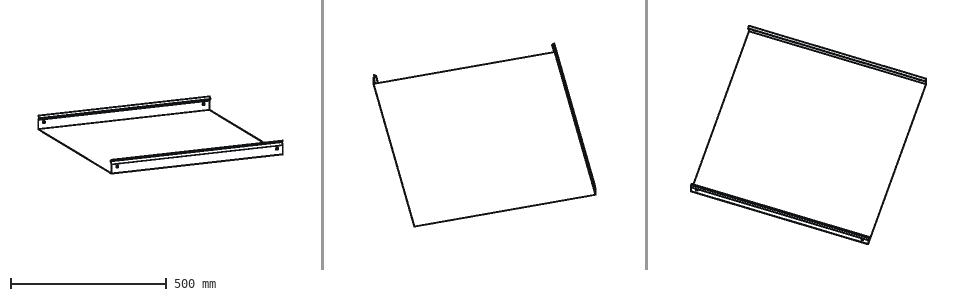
import cadquery as cq
import math

width = 597.5
length = 600.0
height = 46.0
sheet = 1.0

wall_height = 31.0
lip_depth = 8.0

hole_diameter = 7.0
hole_end_distance = 20.5
hole_height = 21.5

half_width = width / 2
tip_height = wall_height + lip_depth
sheet_across_fold = sheet * math.sqrt(2)
edge_step = sheet / math.sqrt(2)
upper_rise = height - edge_step - tip_height
inner_wall_height = wall_height + sheet - sheet_across_fold

outer_face = [
    (0, 0),
    (0, wall_height),
    (lip_depth, tip_height),
    (lip_depth - upper_rise, tip_height + upper_rise),
]
inner_face = [
    (lip_depth - upper_rise + edge_step, height),
    (lip_depth + sheet_across_fold, tip_height),
    (sheet, inner_wall_height),
    (sheet, sheet),
]

left_side = [(inset - half_width, z) for inset, z in outer_face + inner_face]
right_side = [(-x, z) for x, z in reversed(left_side)]

tray = (
    cq.Workplane("XZ")
    .polyline(left_side + right_side)
    .close()
    .extrude(length / 2, both=True)
)

hole_offset = length / 2 - hole_end_distance
holes = (
    cq.Workplane("YZ")
    .pushPoints([(-hole_offset, hole_height), (hole_offset, hole_height)])
    .circle(hole_diameter / 2)
    .extrude(width, both=True)
)

result = tray.cut(holes)